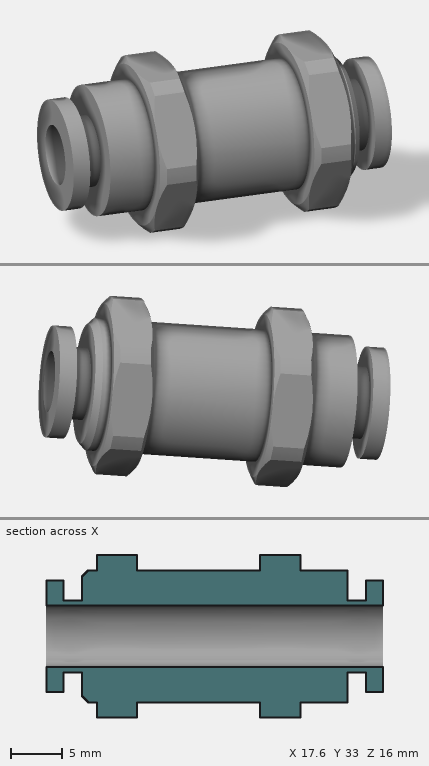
import cadquery as cq
import math

length = 33.0
bore_diameter = 6.0
flange_diameter = 11.02
flange_thickness = 1.7
neck_diameter = 7.13
neck_length = 1.75
body_diameter = 13.0
body_chamfer = 0.63

across_flats = 16.0
corner_diameter = 17.6
nut_thickness = 4.0
nut_chamfer_depth = 0.45
front_nut_start = 8.1
rear_nut_start = 24.1

front_end = -length / 2
body_length = length - 2 * (flange_thickness + neck_length)


def cylinder(diameter, start, depth):
    """Cylinder along +Y from a given distance behind the front end."""
    plane = cq.Workplane("XZ", origin=(0, front_end + start, 0))
    return plane.circle(diameter / 2).extrude(-depth)


def make_nut(start):
    """Hexagon with flats facing +Z and -Z, turned corners and chamfered ends."""
    across_corners = across_flats / math.cos(math.pi / 6)
    plane = cq.Workplane("XZ", origin=(0, front_end + start, 0))
    hexagon = plane.polygon(6, across_corners).extrude(-nut_thickness)

    face_radius = across_flats / 2
    rim_radius = corner_diameter / 2
    near = front_end + start
    far = near + nut_thickness
    turned_blank = (
        cq.Workplane("XY")
        .moveTo(0, near)
        .lineTo(face_radius, near)
        .lineTo(rim_radius, near + nut_chamfer_depth)
        .lineTo(rim_radius, far - nut_chamfer_depth)
        .lineTo(face_radius, far)
        .lineTo(0, far)
        .close()
        .revolve(360, (0, 0, 0), (0, 1, 0))
    )
    return hexagon.intersect(turned_blank)


body = cylinder(body_diameter, flange_thickness + neck_length, body_length)
body = body.faces(">Y").edges().chamfer(body_chamfer)

neck = cylinder(neck_diameter, 0, length)
front_flange = cylinder(flange_diameter, 0, flange_thickness)
rear_flange = cylinder(flange_diameter, length - flange_thickness, flange_thickness)

result = body.union(neck).union(front_flange).union(rear_flange)
for nut_start in (front_nut_start, rear_nut_start):
    result = result.union(make_nut(nut_start))

result = result.cut(cylinder(bore_diameter, 0, length))